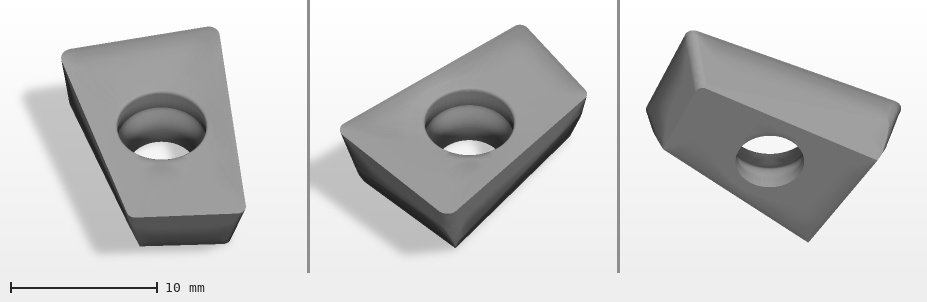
import cadquery as cq
import math

UPPER_LEFT = (172.0, 6.56, 11.8)
UPPER_FRONT = (-90.17, 4.36, 4.75)
LOWER_LEFT = (173.4, 6.16, 21.0)
LOWER_FRONT = (-88.2, 3.89, 17.75)
RIGHT = (-16.2, 7.13, 14.6)
UPPER_BACK = (78.87, 3.87, 11.2)
LOWER_BACK = (80.35, 3.66, 17.5)

LEFT_NOSE_RADIUS = 0.8
RIGHT_NOSE_RADIUS = 0.6

CREST_HEIGHT = 4.63
CREST_SLOPE_X = -0.036
CREST_SLOPE_Y = 0.0357

RIM_RADIUS = 3.25
RIM_HEIGHT = 4.35
RIM_ROUND = 0.22
HEAD_RADIUS = RIM_RADIUS - RIM_ROUND
SEAT_TOP = 2.75
THROAT_TOP = 1.3
THROAT_RADIUS = 2.34

RIM_CREASE_ANGLES = (-20.0, 29.6, 36.5, 145.0, 155.0, 222.0, 231.8, 334.3)

BLANK_HEIGHT = 6.0
BLANK_WIDTH = 40.0
MARGIN = 3.0


def flank_corner(flank_a, flank_b, height):
    """Point where two flank planes cross at the given height."""
    (angle_a, base_a, lean_a), (angle_b, base_b, lean_b) = flank_a, flank_b
    reach_a = base_a + height * math.tan(math.radians(lean_a))
    reach_b = base_b + height * math.tan(math.radians(lean_b))
    a = math.radians(angle_a)
    b = math.radians(angle_b)
    spread = math.sin(b - a)
    x = (reach_a * math.sin(b) - reach_b * math.sin(a)) / spread
    y = (reach_b * math.cos(a) - reach_a * math.cos(b)) / spread
    return cq.Vector(x, y, height)


def flank_block(flanks):
    """Blank enclosed by four flank planes listed around the part."""
    sections = []
    for height in (0, BLANK_HEIGHT):
        corners = [flank_corner(flanks[i - 1], flanks[i], height) for i in range(len(flanks))]
        sections.append(cq.Wire.makePolygon(corners, close=True))
    return cq.Workplane(obj=cq.Solid.makeLoft(sections, True))


def moved_out(flank):
    """The same flank plane, clear of the part."""
    angle, base, lean = flank
    return (angle, base + MARGIN, lean)


def corner_edge(block, flank_a, flank_b):
    """Slanted edge of a blank between two flanks."""
    middle = flank_corner(flank_a, flank_b, BLANK_HEIGHT / 2)
    return block.edges(cq.selectors.NearestToPointSelector(middle.toTuple()))


def flanked_body():
    """Round-nosed upper flanks, cut back below by the lower left, front and back flanks, which lean more."""
    body = flank_block((UPPER_LEFT, UPPER_FRONT, RIGHT, UPPER_BACK))
    noses = (
        (UPPER_LEFT, UPPER_FRONT, LEFT_NOSE_RADIUS),
        (UPPER_BACK, UPPER_LEFT, LEFT_NOSE_RADIUS),
        (UPPER_FRONT, RIGHT, RIGHT_NOSE_RADIUS),
        (RIGHT, UPPER_BACK, RIGHT_NOSE_RADIUS),
    )
    for flank_a, flank_b, radius in noses:
        body = corner_edge(body, flank_a, flank_b).fillet(radius)
    lower = flank_block((LOWER_LEFT, LOWER_FRONT, moved_out(RIGHT), LOWER_BACK))
    return body.intersect(lower)


def crest_trimmed(body):
    """Body cut off at the sloping plane of the cutting edges."""
    crest = cq.Plane(
        origin=(0, 0, CREST_HEIGHT),
        xDir=(1, 0, CREST_SLOPE_X),
        normal=(-CREST_SLOPE_X, -CREST_SLOPE_Y, 1),
    )
    above = cq.Workplane(crest).rect(BLANK_WIDTH, BLANK_WIDTH).extrude(BLANK_HEIGHT)
    return body.cut(above)


def rim_point(angle):
    """Point on the hole rim at an angle in degrees."""
    turn = math.radians(angle)
    return cq.Vector(RIM_RADIUS * math.cos(turn), RIM_RADIUS * math.sin(turn), RIM_HEIGHT)


def bearing(edge):
    """Angle about the hole axis at which the middle of an edge lies."""
    middle = edge.positionAt(0.5)
    return math.atan2(middle.y, middle.x)


def rake_dish(body):
    """Shallow hollow between the cutting edges and the hole rim, with ruled rake faces."""
    top = body.faces(">Z").val()
    crest_edges = sorted(top.outerWire().Edges(), key=bearing)
    right_edge = min(crest_edges, key=lambda edge: abs(bearing(edge)))
    first = crest_edges.index(right_edge)
    crest_edges = crest_edges[first:] + crest_edges[:first]
    faces = [top]
    rim = []
    for i, edge in enumerate(crest_edges):
        start = RIM_CREASE_ANGLES[i]
        end = RIM_CREASE_ANGLES[(i + 1) % len(RIM_CREASE_ANGLES)]
        sweep = (end - start) % 360
        arc = cq.Edge.makeThreePointArc(rim_point(start), rim_point(start + sweep / 2), rim_point(end))
        rim.append(arc)
        faces.append(cq.Face.makeRuledSurface(edge, arc))
    faces.append(cq.Face.makeFromWires(cq.Wire.assembleEdges(rim)))
    return cq.Solid.makeSolid(cq.Shell.makeShell(faces)).fix()


def screw_hole():
    """Head bore with a rounded rim, a convex rounded seat and a straight throat, turned about Z."""
    rise = SEAT_TOP - THROAT_TOP
    run = HEAD_RADIUS - THROAT_RADIUS
    seat_radius = (rise**2 + run**2) / (2 * run)
    half_turn = math.asin(rise / seat_radius) / 2
    seat_middle = (
        THROAT_RADIUS + seat_radius * (1 - math.cos(half_turn)),
        THROAT_TOP + seat_radius * math.sin(half_turn),
    )
    rim_middle = (
        RIM_RADIUS - RIM_ROUND * math.cos(math.pi / 4),
        RIM_HEIGHT - RIM_ROUND + RIM_ROUND * math.sin(math.pi / 4),
    )
    return (
        cq.Workplane("XZ")
        .lineTo(THROAT_RADIUS, 0)
        .lineTo(THROAT_RADIUS, THROAT_TOP)
        .threePointArc(seat_middle, (HEAD_RADIUS, SEAT_TOP))
        .lineTo(HEAD_RADIUS, RIM_HEIGHT - RIM_ROUND)
        .threePointArc(rim_middle, (RIM_RADIUS, RIM_HEIGHT))
        .lineTo(0, RIM_HEIGHT)
        .close()
        .revolve(360, (0, 0, 0), (0, 1, 0))
    )


body = crest_trimmed(flanked_body())
body = body.cut(cq.Workplane(obj=rake_dish(body)))
result = body.cut(screw_hole())